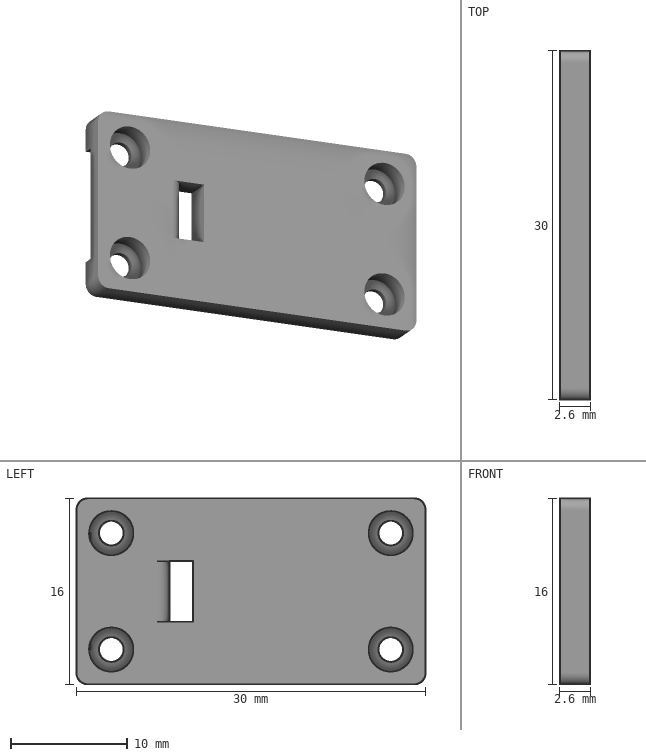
import cadquery as cq

thickness = 2.6
length = 30.0
height = 16.0
corner_radius = 1.0

hole_diameter = 2.1
counterbore_diameter = 3.8
counterbore_depth = 2.0
hole_edge_margin = 3.0
hole_spacing_y = length - 2 * hole_edge_margin
hole_spacing_z = height - 2 * hole_edge_margin

window_y_min = 5.0
window_y_max = 7.0
window_height = 5.2
lip_radius = 1.0

step_length_y = 1.2
step_height_z = 10.0
step_depth = 1.0

front_x = -thickness / 2
back_x = thickness / 2


def make_plate():
    """Flat plate with rounded corners, centred on the origin."""
    return cq.Workplane("XY").box(thickness, length, height).edges("|X").fillet(corner_radius)


def cut_screw_holes(plate):
    """Counterbored through holes at the four corners."""
    return (
        plate.faces("<X")
        .workplane(centerOption="CenterOfBoundBox")
        .rect(hole_spacing_y, hole_spacing_z, forConstruction=True)
        .vertices()
        .cboreHole(hole_diameter, counterbore_diameter, counterbore_depth)
    )


def make_window_cutter():
    """Window profile in XY, flaring outward along an arc tangent to the -X face."""
    lip_end_x = front_x + lip_radius
    lip_end_y = window_y_max + lip_radius
    return (
        cq.Workplane("XY")
        .moveTo(front_x, window_y_min)
        .lineTo(back_x, window_y_min)
        .lineTo(back_x, window_y_max)
        .lineTo(lip_end_x, window_y_max)
        .tangentArcPoint((front_x, lip_end_y), relative=False)
        .close()
        .extrude(window_height / 2, both=True)
    )


def make_edge_step_cutter():
    """Block that removes the middle of the back edge at the +Y end."""
    return cq.Workplane("XY").box(step_depth, step_length_y, step_height_z).translate(
        (back_x - step_depth / 2, (length - step_length_y) / 2, 0)
    )


drilled_plate = cut_screw_holes(make_plate())
result = drilled_plate.cut(make_window_cutter()).cut(make_edge_step_cutter())